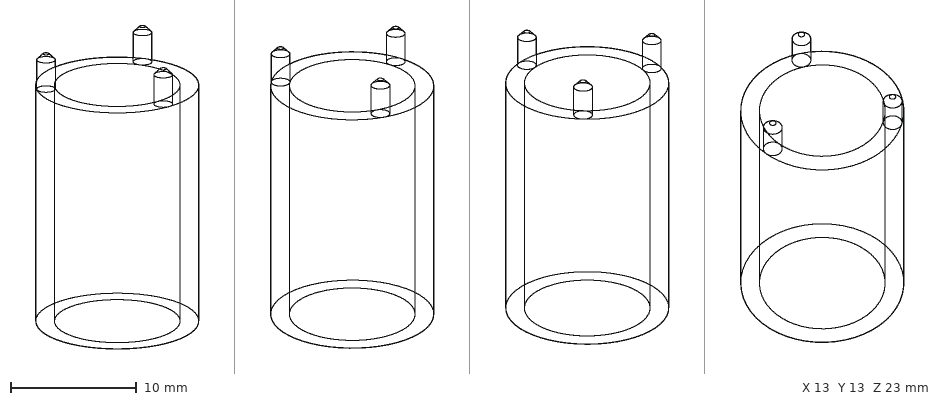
import cadquery as cq

outer_diameter = 13.0
bore_diameter = 10.0
total_height = 23.0

pin_diameter = (outer_diameter - bore_diameter) / 2
pin_circle_radius = (outer_diameter + bore_diameter) / 4
pin_count = 3
first_pin_angle = 95.0
pin_height = 3.0
tip_height = 0.5
tip_diameter = 0.5

tube_height = total_height - pin_height


def make_tube():
    return (
        cq.Workplane("XY")
        .circle(outer_diameter / 2)
        .circle(bore_diameter / 2)
        .extrude(tube_height)
    )


def make_pin():
    """Round pin with a truncated conical tip, on the Z axis with its foot on the rim plane."""
    shoulder_z = tube_height + pin_height - tip_height
    return (
        cq.Workplane("XZ")
        .moveTo(0, tube_height)
        .lineTo(pin_diameter / 2, tube_height)
        .lineTo(pin_diameter / 2, shoulder_z)
        .lineTo(tip_diameter / 2, total_height)
        .lineTo(0, total_height)
        .close()
        .revolve(360, (0, 0), (0, 1))
    )


result = make_tube()
pin = make_pin().translate((pin_circle_radius, 0, 0))
for index in range(pin_count):
    angle = first_pin_angle + index * 360 / pin_count
    result = result.union(pin.rotate((0, 0, 0), (0, 0, 1), angle))